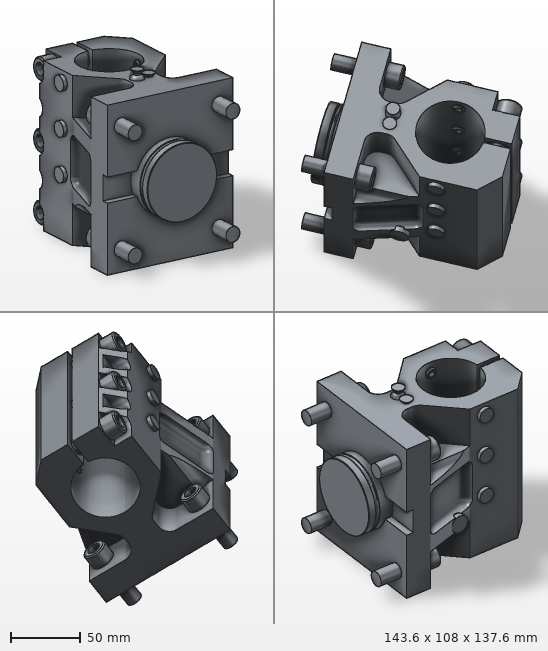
import cadquery as cq
import math


height = 130.0
mid_z = height / 2
block_left = -45.2
block_half_width = 40.0
corner_chamfer = 14.9
taper_start = 12.6
flange_back = 58.3
flange_thickness = 21.7
flange_face = flange_back + flange_thickness
flange_width = 108.0
flange_half_width = flange_width / 2
bore_radius = 25.0
slit_width = 4.0

overrun = 14.4

waist_half_width = 12.8
relief_fillet = 10.0
gusset_height = 66.0
gusset_bottom = mid_z - gusset_height / 2
scoop_rise = 8.0
scoop_radius = 10.0

window_length = 50.4
window_height = 40.2
window_depth = 7.2
window_fillet = 6.2
window_offset = 22.8

keyway_width = 20.0
keyway_depth = 5.9
spigot_radius = 30.0
spigot_length = 16.0
spigot_chamfer = 0.5
groove_start = 6.0
groove_width = 3.7
groove_depth = 2.6
ring_radius = 1.5
ring_offset = 7.3
ring_seating = 0.1

shank_radius = 6.0
head_radius = 9.0
head_height = 11.9
head_chamfer = 1.0
socket_radius = 5.0
socket_depth = 5.7
socket_tip = 2.9

clamp_x = -35.0
clamp_pitch = 55.0
clamp_seat_y = -25.0
clamp_reach_y = 20.1
recess_radius = 10.0
clamp_heights = [mid_z + step * clamp_pitch for step in (-1, 0, 1)]

flange_screw_y = 42.0
flange_screw_z = 47.0
flange_screw_reach = 18.4

notch_radius = 8.5
notch_floor_y = -27.3

plug_pitch = 35.0
plug_top = 120.8
plug_heights = [plug_top - row * plug_pitch for row in range(3)]
plug_head_radius = 6.0
plug_head_height = 3.3
plug_embed = 2.9
tip_radius = 4.6
tip_end = 23.0
tip_chamfer = 1.1
cup_radius = 2.6

side_plug_x = 26.4
side_plug_z = 38.5
side_plug_radius = 7.2
side_plug_start = 41.9
side_plug_end = 46.4

nozzle_x = 43.8
tall_nozzle_y = -4.6
short_nozzle_y = 5.2
tall_nozzle_height = 7.6
short_nozzle_height = 2.9
nozzle_neck_radius = 2.7
nozzle_rim_radius = 5.0
nozzle_rim_height = 0.5
nozzle_flare_height = 2.6
nozzle_length = 5.7
dome_base_radius = 5.6
dome_height = 3.3
dome_curve = 6.0


def half_turn(shape):
    """Copy turned 180 degrees about the part's X axis at mid height."""
    return shape.rotate((0, 0, mid_z), (1, 0, mid_z), 180)


def block_and_flange():
    chamfer_end_x = block_left + corner_chamfer
    chamfer_end_y = block_half_width - corner_chamfer
    upper = [
        (block_left, chamfer_end_y),
        (chamfer_end_x, block_half_width),
        (taper_start, block_half_width),
        (flange_back, flange_half_width),
        (flange_face, flange_half_width),
    ]
    lower = [(x, -y) for x, y in reversed(upper)]
    return cq.Workplane("XY").polyline(upper + lower).close().extrude(height)


def relief():
    """Lower relief on the -Y side: a 45 degree flank, a flat waist and the flange back."""
    flank_run = block_half_width - waist_half_width
    outline = [
        (taper_start - overrun, -block_half_width - overrun),
        (taper_start + flank_run, -waist_half_width),
        (flange_back, -waist_half_width),
        (flange_back, -block_half_width - overrun),
    ]
    body = cq.Workplane("XY").polyline(outline).close().extrude(gusset_bottom)
    return body.edges("|Z").edges(">Y").fillet(relief_fillet)


def scoop():
    """Screw clearance with a rounded inner edge, cut up into the -Y gusset."""
    inner_y = -flange_screw_y
    outer_y = -flange_half_width - overrun
    length = flange_back - taper_start
    body = cq.Workplane("XY").box(
        length, inner_y - outer_y, gusset_bottom + scoop_rise, centered=False
    )
    body = body.translate((taper_start, outer_y, 0))
    return body.edges(">Y and >Z").fillet(scoop_radius)


def window():
    """Ball-cornered window in the -Y tapered face."""
    run = flange_back - taper_start
    rise = flange_half_width - block_half_width
    slope = math.atan2(rise, run)
    tool = (
        cq.Workplane("XY")
        .box(window_length, window_depth + overrun, window_height, centered=(True, False, True))
        .edges("|Y or >Y")
        .fillet(window_fillet)
        .translate((window_offset, -overrun, 0))
    )
    return tool.rotate((0, 0, 0), (0, 0, 1), -math.degrees(slope)).translate(
        (taper_start, -block_half_width, mid_z)
    )


def cap_screw(reach):
    """Cap screw along +Z: seat at Z = 0, head below it, shank reaching up."""
    head = (
        cq.Workplane("XY")
        .circle(head_radius)
        .extrude(-head_height)
        .faces("<Z")
        .chamfer(head_chamfer)
    )
    socket = (
        cq.Workplane("XZ")
        .polyline([
            (0, -head_height),
            (socket_radius, -head_height),
            (socket_radius, -head_height + socket_depth),
            (0, -head_height + socket_depth + socket_tip),
        ])
        .close()
        .revolve(360, (0, 0), (0, 1))
    )
    shank = cq.Workplane("XY").circle(shank_radius).extrude(reach)
    return head.cut(socket).union(shank)


def side_pocket(floor_y, radius, z):
    """Round-ended pocket from the -Y side, running out at the clamp end."""
    depth = block_half_width + floor_y + overrun
    run_out = clamp_x - block_left
    floor = cq.Workplane("XZ", origin=(clamp_x, floor_y, z))
    round_end = floor.circle(radius).extrude(depth)
    slot = floor.center(-run_out / 2, 0).rect(run_out, 2 * radius).extrude(depth)
    return round_end.union(slot)


def end_recess(z_from, z_to):
    """Opens the outermost screw recesses through the ends of the block."""
    depth = block_half_width + clamp_seat_y + overrun
    length = clamp_x + recess_radius - block_left
    return cq.Workplane("XY").box(length, depth, z_to - z_from, centered=False).translate(
        (block_left, clamp_seat_y - depth, z_from)
    )


def spigot():
    """Ringed centring spigot, rooted at the keyway floor."""
    root_x = flange_face - keyway_depth
    body = (
        cq.Workplane("YZ", origin=(root_x, 0, mid_z))
        .circle(spigot_radius)
        .extrude(keyway_depth + spigot_length)
        .faces(">X")
        .chamfer(spigot_chamfer)
    )
    groove = (
        cq.Workplane("YZ", origin=(flange_face + groove_start, 0, mid_z))
        .circle(spigot_radius + overrun)
        .circle(spigot_radius - groove_depth)
        .extrude(groove_width)
    )
    ring_center_radius = spigot_radius - groove_depth + ring_radius - ring_seating
    ring = cq.Workplane(
        cq.Solid.makeTorus(
            ring_center_radius,
            ring_radius,
            cq.Vector(flange_face + ring_offset, 0, mid_z),
            cq.Vector(1, 0, 0),
        )
    )
    return body.cut(groove).union(ring)


def radial_plug():
    """Plug on the +Y side at Z = 0: a low head outside and a cupped tip inside the bore."""
    head_seat = bore_radius + plug_embed
    head_end = block_half_width + plug_head_height
    head = (
        cq.Workplane("XZ", origin=(0, head_seat, 0))
        .circle(plug_head_radius)
        .extrude(head_seat - head_end)
    )
    tip_root = bore_radius + plug_embed
    tip = (
        cq.Workplane("XY")
        .polyline([
            (0, tip_root),
            (tip_radius, tip_root),
            (tip_radius, tip_end + tip_chamfer),
            (tip_radius - tip_chamfer, tip_end),
            (cup_radius, tip_end),
            (0, tip_end + cup_radius),
        ])
        .close()
        .revolve(360, (0, 0), (0, 1))
    )
    return head.union(tip)


def side_plug():
    return (
        cq.Workplane("XZ", origin=(side_plug_x, side_plug_start, side_plug_z))
        .circle(side_plug_radius)
        .extrude(side_plug_start - side_plug_end)
    )


def nozzle(y, top):
    """Flared nozzle whose rim stands the given distance above the block."""
    rim_base = top - nozzle_rim_height
    flare_base = rim_base - nozzle_flare_height
    profile = [
        (0, rim_base - nozzle_length),
        (nozzle_neck_radius, rim_base - nozzle_length),
        (nozzle_neck_radius, flare_base),
        (nozzle_rim_radius, rim_base),
        (nozzle_rim_radius, top),
        (0, top),
    ]
    body = cq.Workplane("XZ").polyline(profile).close().revolve(360, (0, 0), (0, 1))
    return body.translate((nozzle_x, y, height))


def nozzle_dome(y):
    dome = (
        cq.Workplane("XZ")
        .lineTo(dome_base_radius, 0)
        .radiusArc((nozzle_neck_radius, dome_height), -dome_curve)
        .lineTo(0, dome_height)
        .close()
        .revolve(360, (0, 0), (0, 1))
    )
    return dome.translate((nozzle_x, y, height))


result = block_and_flange()
result = result.cut(cq.Workplane("XY").circle(bore_radius).extrude(height))
slit = cq.Workplane("XY").box(-block_left, slit_width, height, centered=False)
result = result.cut(slit.translate((block_left, -slit_width / 2, 0)))

lower_relief = relief()
upper_relief = lower_relief.translate((0, 0, height - gusset_bottom))
for cutter in (lower_relief, upper_relief, scoop(), window()):
    result = result.cut(cutter).cut(half_turn(cutter))

for z in clamp_heights:
    result = result.cut(side_pocket(clamp_seat_y, recess_radius, z))
result = result.cut(end_recess(0, clamp_heights[0]))
result = result.cut(end_recess(clamp_heights[-1], height))
for z in (mid_z - clamp_pitch / 2, mid_z + clamp_pitch / 2):
    result = result.cut(side_pocket(notch_floor_y, notch_radius, z))

keyway = cq.Workplane("XY").box(2 * keyway_depth, 2 * flange_half_width, keyway_width)
result = result.cut(keyway.translate((flange_face, 0, mid_z)))

result = result.union(spigot())

clamp_screw = cap_screw(clamp_reach_y - clamp_seat_y).rotate((0, 0, 0), (1, 0, 0), -90)
for z in clamp_heights:
    result = result.union(clamp_screw.translate((clamp_x, clamp_seat_y, z)))

flange_screw = cap_screw(flange_thickness + flange_screw_reach).rotate((0, 0, 0), (0, 1, 0), 90)
for side in (-1, 1):
    for level in (-1, 1):
        place = (flange_back, side * flange_screw_y, mid_z + level * flange_screw_z)
        result = result.union(flange_screw.translate(place))

plug = radial_plug()
for z in plug_heights:
    placed_plug = plug.translate((0, 0, z))
    result = result.union(placed_plug).union(placed_plug.mirror("XZ"))

result = result.union(side_plug())
result = result.union(nozzle_dome(tall_nozzle_y))
result = result.union(nozzle(tall_nozzle_y, tall_nozzle_height))
result = result.union(nozzle(short_nozzle_y, short_nozzle_height))